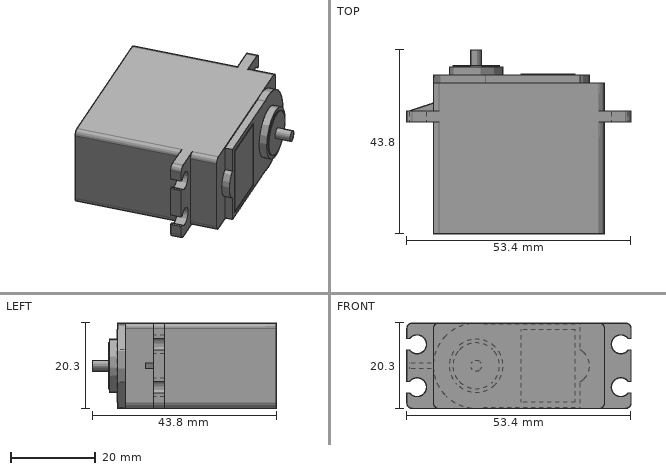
import cadquery as cq
import math

case_length = 40.65
case_height = 20.3
case_depth = 35.85
corner_radius = 1.3

flange_length = 53.35
flange_start = 26.55
flange_thickness = 2.65
flange_end = flange_start + flange_thickness
hole_diameter = 4.45
hole_edge_distance = 2.45
hole_spacing = 10.2
slot_width = 2.65

gusset_thickness = 1.35
gusset_rise = 1.85
gusset_tip_x = -26.05

cover_thickness = 1.9
cover_radius = case_height / 2
cover_end_x = 14.55
lobe_radius = 4.45
lobe_reach = 2.2
cover_flat_offset = 2.2
cover_top = case_depth + cover_thickness
shaft_x = -case_length / 2 + cover_radius

pad_length = 12.85
pad_height = 17.35
pad_thickness = 0.15
pad_center_x = 6.9

collar_diameter = 12.7
collar_thickness = 1.9
lip_diameter = 11.0
lip_thickness = 0.25
shaft_diameter = 2.6
shaft_end = 43.75


def plane_at(y, x=0):
    """Plane facing +Y at the given Y, with local X reversed and local Y along Z."""
    return cq.Workplane(cq.Plane(origin=(x, y, 0), xDir=(-1, 0, 0), normal=(0, 1, 0)))


def box_along_y(length, height, start, thickness, center_x=0):
    return plane_at(start, center_x).rect(length, height).extrude(thickness)


def cylinder_along_y(diameter, start, end, center_x=shaft_x):
    return plane_at(start, center_x).circle(diameter / 2).extrude(end - start)


def make_flange():
    flange = box_along_y(flange_length, case_height, flange_start, flange_thickness)
    flange = flange.edges("|Y").fillet(corner_radius)
    for side in (-1, 1):
        edge_x = side * flange_length / 2
        hole_x = edge_x - side * hole_edge_distance
        for hole_z in (-hole_spacing / 2, hole_spacing / 2):
            center = plane_at(flange_start, hole_x).center(0, hole_z)
            flange = flange.cut(center.circle(hole_diameter / 2).extrude(flange_thickness))
            slot = box_along_y(
                hole_edge_distance, slot_width, flange_start, flange_thickness, (edge_x + hole_x) / 2
            )
            flange = flange.cut(slot.translate((0, 0, hole_z)))
    return flange


def make_gusset():
    return (
        cq.Workplane("XY")
        .moveTo(gusset_tip_x, flange_end)
        .lineTo(-case_length / 2, flange_end + gusset_rise)
        .lineTo(0, flange_end + gusset_rise)
        .lineTo(0, flange_end)
        .close()
        .extrude(gusset_thickness / 2, both=True)
    )


def make_cover():
    half_height = math.sqrt(cover_radius**2 - cover_flat_offset**2)
    block_length = cover_end_x - shaft_x
    block_center_x = (cover_end_x + shaft_x) / 2
    block = box_along_y(block_length, 2 * half_height, case_depth, cover_thickness, block_center_x)
    disc = cylinder_along_y(2 * cover_radius, case_depth, cover_top)
    lobe_x = cover_end_x + lobe_reach - lobe_radius
    lobe = cylinder_along_y(2 * lobe_radius, case_depth, cover_top, lobe_x)
    return block.union(disc).union(lobe)


def make_output():
    collar_end = cover_top + collar_thickness
    lip_end = collar_end + lip_thickness
    collar = cylinder_along_y(collar_diameter, cover_top, collar_end)
    lip = cylinder_along_y(lip_diameter, collar_end, lip_end)
    shaft = cylinder_along_y(shaft_diameter, lip_end, shaft_end)
    return collar.union(lip).union(shaft)


case = box_along_y(case_length, case_height, 0, case_depth).edges("|Y").fillet(corner_radius)
pad = box_along_y(pad_length, pad_height, cover_top, pad_thickness, pad_center_x)

result = case.union(make_flange()).union(make_gusset())
result = result.union(make_cover()).union(pad).union(make_output())